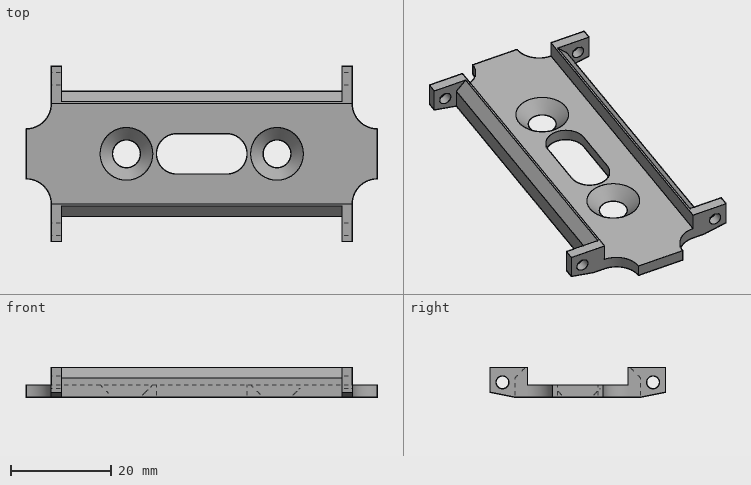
import cadquery as cq

PLATE_LENGTH = 70.0
PLATE_THICKNESS = 2.5
CORNER_RADIUS = 5.0

HEIGHT = 6.0
WALL_LENGTH = PLATE_LENGTH - 2 * CORNER_RADIUS
CHANNEL_WIDTH = 20.0
WALL_THICKNESS = 2.5
WALL_CHAMFER = 2.1
WALL_INNER_Y = CHANNEL_WIDTH / 2
WALL_OUTER_Y = WALL_INNER_Y + WALL_THICKNESS

EAR_THICKNESS = 2.1
EAR_REACH = 5.0
EAR_RISE = 1.0
EAR_TIP_Y = WALL_OUTER_Y + EAR_REACH
PIN_DIAMETER = 2.5
PIN_Y = WALL_OUTER_Y + EAR_REACH / 2
PIN_Z = HEIGHT / 2

SCREW_SPACING = 30.0
SCREW_DIAMETER = 5.5
SCREW_HEAD_DIAMETER = 10.5
SLOT_LENGTH = 18.0
SLOT_WIDTH = 8.0


def make_plate():
    plate = cq.Workplane("XY").rect(PLATE_LENGTH, CHANNEL_WIDTH).extrude(PLATE_THICKNESS)
    corner_scoops = (
        cq.Workplane("XY")
        .rect(PLATE_LENGTH, CHANNEL_WIDTH, forConstruction=True)
        .vertices()
        .circle(CORNER_RADIUS)
        .extrude(PLATE_THICKNESS)
    )
    return plate.cut(corner_scoops)


def extrude_along_x(profile_points, length, center_x):
    """Extrude a closed (y, z) profile along X, centred on center_x."""
    profile = cq.Workplane("YZ").polyline(profile_points).close()
    return profile.extrude(length / 2, both=True).translate((center_x, 0, 0))


def make_wall():
    """Bevelled wall on the +Y side."""
    profile_points = [
        (WALL_INNER_Y, 0),
        (WALL_OUTER_Y, 0),
        (WALL_OUTER_Y, HEIGHT - WALL_CHAMFER),
        (WALL_OUTER_Y - WALL_CHAMFER, HEIGHT),
        (WALL_INNER_Y, HEIGHT),
    ]
    return extrude_along_x(profile_points, WALL_LENGTH, 0)


def make_ear(end):
    """Ear on the +Y wall; end is -1 or 1 for the X end it sits at."""
    profile_points = [
        (WALL_INNER_Y, 0),
        (WALL_OUTER_Y, 0),
        (EAR_TIP_Y, EAR_RISE),
        (EAR_TIP_Y, HEIGHT),
        (WALL_INNER_Y, HEIGHT),
    ]
    center_x = end * (WALL_LENGTH - EAR_THICKNESS) / 2
    return extrude_along_x(profile_points, EAR_THICKNESS, center_x)


def make_pin_bore():
    """Pin bore running through both ears of the +Y side."""
    bore = cq.Workplane("YZ").center(PIN_Y, PIN_Z).circle(PIN_DIAMETER / 2)
    return bore.extrude(WALL_LENGTH / 2, both=True)


def make_side():
    """Wall, ears and pin bore of the +Y side."""
    side = make_wall()
    for end in (-1, 1):
        side = side.union(make_ear(end))
    return side.cut(make_pin_bore())


def make_screw_hole(center_x):
    """Conical hole that widens from the plate underside to its top."""
    return (
        cq.Workplane("XY")
        .center(center_x, 0)
        .circle(SCREW_DIAMETER / 2)
        .workplane(offset=PLATE_THICKNESS)
        .circle(SCREW_HEAD_DIAMETER / 2)
        .loft()
    )


def make_slot():
    return cq.Workplane("XY").slot2D(SLOT_LENGTH, SLOT_WIDTH).extrude(PLATE_THICKNESS)


side = make_side()
result = make_plate().union(side).union(side.mirror("XZ"))
for hole_x in (-SCREW_SPACING / 2, SCREW_SPACING / 2):
    result = result.cut(make_screw_hole(hole_x))
result = result.cut(make_slot())